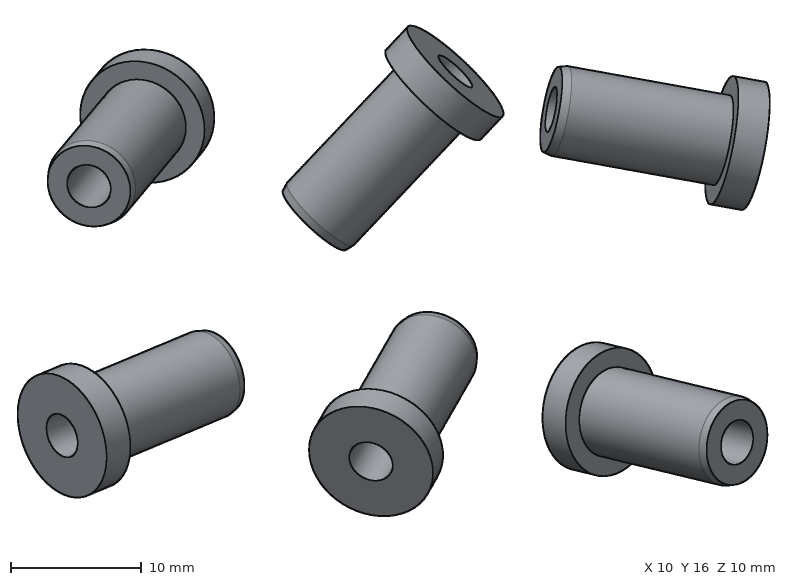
import cadquery as cq

total_length = 16.0
head_diameter = 10.0
head_thickness = 2.5
body_diameter = 7.0
bore_diameter = 3.5

taper_length = 0.67
taper_depth = 0.18

head_radius = head_diameter / 2
body_radius = body_diameter / 2
bore_radius = bore_diameter / 2
tip_radius = body_radius - taper_depth
shoulder_y = total_length - head_thickness

half_section = [
    (bore_radius, 0),
    (tip_radius, 0),
    (body_radius, taper_length),
    (body_radius, shoulder_y),
    (head_radius, shoulder_y),
    (head_radius, total_length),
    (bore_radius, total_length),
]

result = cq.Workplane("XY").polyline(half_section).close().revolve(360, (0, 0, 0), (0, 1, 0))